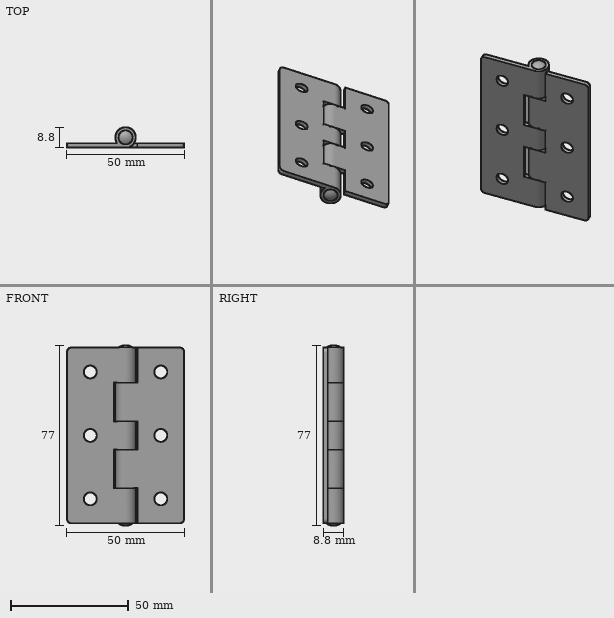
import cadquery as cq

overall_length = 77.0
leaf_length = 75.0
hinge_width = 50.0
leaf_thickness = 2.0
corner_radius = 2.0
barrel_diameter = 8.8
pin_diameter = 6.0
slot_edge = 5.0

centre_knuckle_length = 12.0
inner_knuckle_length = 16.5

hole_diameter = 5.4
hole_offset = 15.0
hole_pitch = 27.0

half_width = hinge_width / 2
half_length = leaf_length / 2
barrel_radius = barrel_diameter / 2
pin_radius = pin_diameter / 2
leaf_bottom = -barrel_radius
dome_height = (overall_length - leaf_length) / 2
dome_radius = (pin_radius**2 + dome_height**2) / (2 * dome_height)
inner_start = centre_knuckle_length / 2
inner_end = inner_start + inner_knuckle_length

left_knuckles = [
    (-half_length, -inner_end),
    (-inner_start, inner_start),
    (inner_end, half_length),
]
right_knuckles = [(-inner_end, -inner_start), (inner_start, inner_end)]


def slab(x_start, x_end, z_start, z_end):
    """Flat sheet in the plane of the leaves."""
    return cq.Workplane("XY").box(
        x_end - x_start, leaf_thickness, z_end - z_start, centered=False
    ).translate((x_start, leaf_bottom, z_start))


def axial_cylinder(radius, z_start, z_end):
    """Cylinder on the hinge axis."""
    return cq.Workplane("XY").workplane(offset=z_start).circle(radius).extrude(z_end - z_start)


def screw_holes():
    """Cutters for one column of three screw holes on the left side."""
    centres = [(-hole_offset, row * hole_pitch) for row in (-1, 0, 1)]
    return (
        cq.Workplane("XZ", origin=(0, leaf_bottom + leaf_thickness, 0))
        .pushPoints(centres)
        .circle(hole_diameter / 2)
        .extrude(leaf_thickness)
    )


def make_leaf(knuckles):
    """Leaf on the -X side with a tangent barrel at each knuckle, bored for the pin."""
    leaf = slab(-half_width, -slot_edge, -half_length, half_length)
    leaf = leaf.edges("|Y and <X").fillet(corner_radius)
    leaf = leaf.cut(screw_holes())
    for z_start, z_end in knuckles:
        leaf = leaf.union(slab(-slot_edge, 0, z_start, z_end))
        leaf = leaf.union(axial_cylinder(barrel_radius, z_start, z_end))
    return leaf.cut(axial_cylinder(pin_radius, -half_length, half_length))


def make_pin():
    """Pin with a shallow spherical dome beyond each end of the barrel."""
    pin_end = overall_length / 2
    dome_centre = pin_end - dome_radius
    mid_height = pin_end - dome_height / 2
    mid_radius = (dome_radius**2 - (mid_height - dome_centre)**2) ** 0.5
    return (
        cq.Workplane("YZ")
        .moveTo(0, -pin_end)
        .threePointArc((mid_radius, -mid_height), (pin_radius, -half_length))
        .lineTo(pin_radius, half_length)
        .threePointArc((mid_radius, mid_height), (0, pin_end))
        .close()
        .revolve(360, (0, 0, 0), (0, 1, 0))
    )


left_leaf = make_leaf(left_knuckles)
right_leaf = make_leaf(right_knuckles).mirror("YZ")
pin = make_pin()

result = cq.Compound.makeCompound([left_leaf.val(), right_leaf.val(), pin.val()])